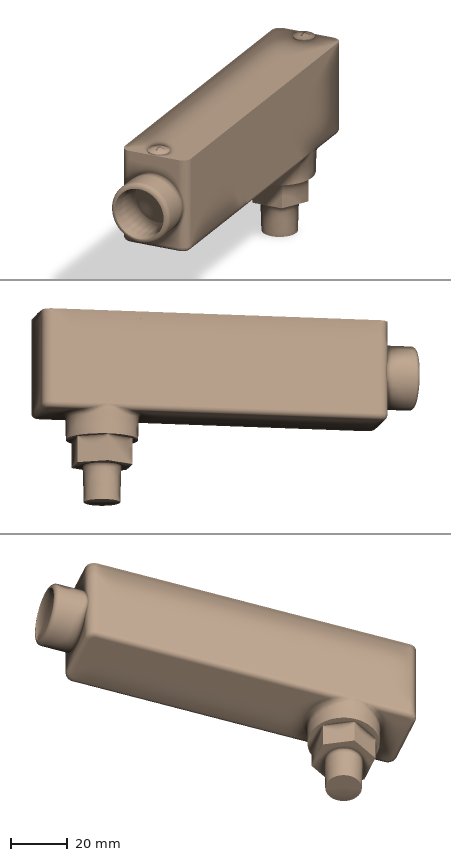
import cadquery as cq
import math

box_width = 26.1
box_length = 124.5
box_height = 35.4
corner_radius = 3.4
bottom_fillet = 1.8
cover_thickness = 2.5
housing_height = box_height - cover_thickness

overall_length = 136.1
tube_length = overall_length - box_length
tube_diameter = 22.7
tube_axis_drop = 18.1
tube_lip_fillet = 1.8
bore_mouth_diameter = tube_diameter - 2 * tube_lip_fillet
bore_end_diameter = 17.8
bore_depth = tube_length + corner_radius

hub_to_back = 23.5
hub_height = 8.8
hub_top_diameter = box_width
hub_bottom_diameter = 25.6
hub_fillet = 1.4

hex_height = 9.4
hex_across_corners = 22.9
nipple_length = 13.1
nipple_top_diameter = 13.8
nipple_bottom_diameter = 13.0

screw_diameter = 7.9
screw_height = 1.6
screw_rim_height = 0.5
screw_to_end = 4.1
recess_length = 4.9
recess_width = 0.5
recess_depth = 0.8

box_front = -box_length / 2
tube_front = box_front - tube_length
tube_axis_z = box_height - tube_axis_drop
hub_center_y = box_length / 2 - hub_to_back
hub_bottom_z = -hub_height
hex_bottom_z = hub_bottom_z - hex_height


def make_block(height, bottom_z):
    """Block with the outline of the box and rounded vertical corners."""
    block = cq.Workplane("XY", origin=(0, 0, bottom_z)).rect(box_width, box_length).extrude(height)
    return block.edges("|Z").fillet(corner_radius)


def make_hub_cone(top_z, top_diameter, bottom_z, bottom_diameter):
    """Upright cone on the hub axis."""
    return (
        cq.Workplane("XY", origin=(0, hub_center_y, bottom_z))
        .circle(bottom_diameter / 2)
        .workplane(offset=top_z - bottom_z)
        .circle(top_diameter / 2)
        .loft(ruled=True)
    )


def add_hub(box):
    """Join the tapered hub to the box and round the corner between them."""
    hub = make_hub_cone(0, hub_top_diameter, hub_bottom_z, hub_bottom_diameter)
    stub = cq.Workplane("XY", origin=(0, hub_center_y, 0)).circle(hub_top_diameter / 2).extrude(bottom_fillet)
    joined = box.union(stub).union(hub)
    joint_zone = cq.selectors.BoxSelector(
        (-box_width / 2, hub_center_y - hub_top_diameter / 2 - hub_fillet, -hub_fillet),
        (box_width / 2, hub_center_y + hub_top_diameter / 2 + hub_fillet, bottom_fillet),
        boundingbox=True,
    )
    return joined.edges(joint_zone).fillet(hub_fillet)


def add_tube(box):
    """Join the tube with its rounded lip to the box and cut its tapered blind bore."""
    tube_root = box_front + corner_radius
    tube = (
        cq.Workplane("XZ", origin=(0, tube_root, tube_axis_z))
        .circle(tube_diameter / 2)
        .extrude(tube_root - tube_front)
        .faces("<Y")
        .edges()
        .fillet(tube_lip_fillet)
    )
    bore = cq.Solid.makeCone(
        bore_mouth_diameter / 2,
        bore_end_diameter / 2,
        bore_depth,
        cq.Vector(0, tube_front, tube_axis_z),
        cq.Vector(0, 1, 0),
    )
    return box.union(tube).cut(cq.Workplane(obj=bore))


def make_housing():
    """Box with rounded bottom edges, the hub below it and the tube at its front end."""
    box = make_block(housing_height, 0).faces("<Z").edges().fillet(bottom_fillet)
    return add_tube(add_hub(box))


def make_screw_head(center_y):
    """Domed screw head with a low rim and a cross recess."""
    screw_radius = screw_diameter / 2
    dome_height = screw_height - screw_rim_height
    dome_radius = (screw_radius**2 + dome_height**2) / (2 * dome_height)
    mid_x = screw_radius / 2
    mid_z = screw_height - dome_radius + math.sqrt(dome_radius**2 - mid_x**2)
    head = (
        cq.Workplane("XZ")
        .lineTo(screw_radius, 0)
        .lineTo(screw_radius, screw_rim_height)
        .threePointArc((mid_x, mid_z), (0, screw_height))
        .close()
        .revolve(360, (0, 0), (0, 1))
    )
    recess_plane = cq.Workplane("XY", origin=(0, 0, screw_height - recess_depth))
    for angle in (0, 90):
        head = head.cut(recess_plane.slot2D(recess_length, recess_width, angle).extrude(recess_depth))
    return head.translate((0, center_y, box_height))


def make_cover():
    """Flat cover plate with a screw head near each end."""
    cover = make_block(cover_thickness, housing_height)
    screw_y = box_length / 2 - screw_to_end
    for center_y in (-screw_y, screw_y):
        cover = cover.union(make_screw_head(center_y))
    return cover


def make_fitting():
    """Hexagon with two corners on the X direction and a tapered nipple below it."""
    hexagon = (
        cq.Workplane("XY", origin=(0, hub_center_y, hex_bottom_z))
        .polygon(6, hex_across_corners)
        .extrude(hex_height)
    )
    nipple = make_hub_cone(
        hex_bottom_z, nipple_top_diameter, hex_bottom_z - nipple_length, nipple_bottom_diameter
    )
    return hexagon.union(nipple)


housing = make_housing()
cover = make_cover()
fitting = make_fitting()

result = cq.Compound.makeCompound([housing.val(), cover.val(), fitting.val()])